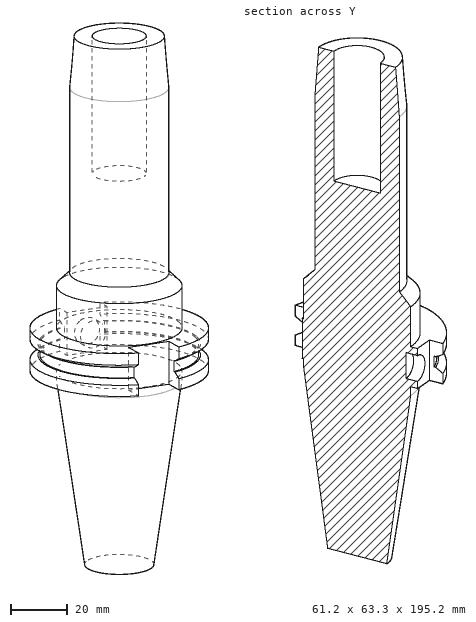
import cadquery as cq
import math

total_length = 195.2
shank_length = 68.3
shank_diameter = 44.5
shank_taper = 7 / 24
shank_end_diameter = shank_diameter - shank_taper * shank_length

flange_diameter = 63.3
flange_bottom = 71.7
flange_thickness = 15.8
flange_top = flange_bottom + flange_thickness
groove_centre = 79.5
groove_mouth = 7.5
groove_floor_width = 4.1
groove_floor_diameter = 56.2
groove_flank_angle = 60
flank_height = (groove_mouth - groove_floor_width) / 2
flank_depth = flank_height * math.tan(math.radians(groove_flank_angle))

collar_height = 15.6
nose_diameter = 35.1
tip_diameter = 32.0
tip_length = 19.0
bore_diameter = 19.1
bore_depth = 50.8

slot_width = 16.0
left_slot_floor = 25.0
right_slot_floor = 22.8
chip_pocket_diameter = 10.0
chip_pocket_depth = 4.7


def make_body():
    """Revolve the half section of shank, flange, collar and nose."""
    shank_radius = shank_diameter / 2
    flange_radius = flange_diameter / 2
    floor_radius = groove_floor_diameter / 2
    flank_radius = flange_radius - flank_depth
    nose_radius = nose_diameter / 2
    collar_top = flange_top + collar_height
    nose_start = collar_top + shank_radius - nose_radius
    half_mouth = groove_mouth / 2
    half_floor = groove_floor_width / 2

    section = [
        (0, 0),
        (shank_end_diameter / 2, 0),
        (shank_radius, shank_length),
        (shank_radius, flange_bottom),
        (flange_radius, flange_bottom),
        (flange_radius, groove_centre - half_mouth),
        (flank_radius, groove_centre - half_floor),
        (floor_radius, groove_centre - half_floor),
        (floor_radius, groove_centre + half_floor),
        (flank_radius, groove_centre + half_floor),
        (flange_radius, groove_centre + half_mouth),
        (flange_radius, flange_top),
        (shank_radius, flange_top),
        (shank_radius, collar_top),
        (nose_radius, nose_start),
        (nose_radius, total_length - tip_length),
        (tip_diameter / 2, total_length),
        (0, total_length),
    ]
    return cq.Workplane("XZ").polyline(section).close().revolve(360, (0, 0), (0, 1))


def make_slot(side, floor_distance):
    """Block that cuts one drive slot; side is -1 or +1 along X."""
    slot_length = flange_diameter - floor_distance
    return cq.Workplane("XY").box(slot_length, slot_width, flange_thickness).translate(
        (side * (floor_distance + slot_length / 2), 0, flange_bottom + flange_thickness / 2)
    )


def make_bore():
    """Blind tool bore in the nose."""
    bore_bottom = total_length - bore_depth
    return cq.Workplane("XY").workplane(offset=bore_bottom).circle(bore_diameter / 2).extrude(bore_depth)


def make_chip_pocket():
    """Round blind pocket in the floor of the -X slot."""
    pocket_height = flange_bottom + flange_thickness / 2
    pocket_plane = cq.Workplane("YZ", origin=(-left_slot_floor, 0, pocket_height))
    return pocket_plane.circle(chip_pocket_diameter / 2).extrude(chip_pocket_depth)


result = make_body().cut(make_bore())
for side, floor_distance in ((-1, left_slot_floor), (1, right_slot_floor)):
    result = result.cut(make_slot(side, floor_distance))
result = result.cut(make_chip_pocket())